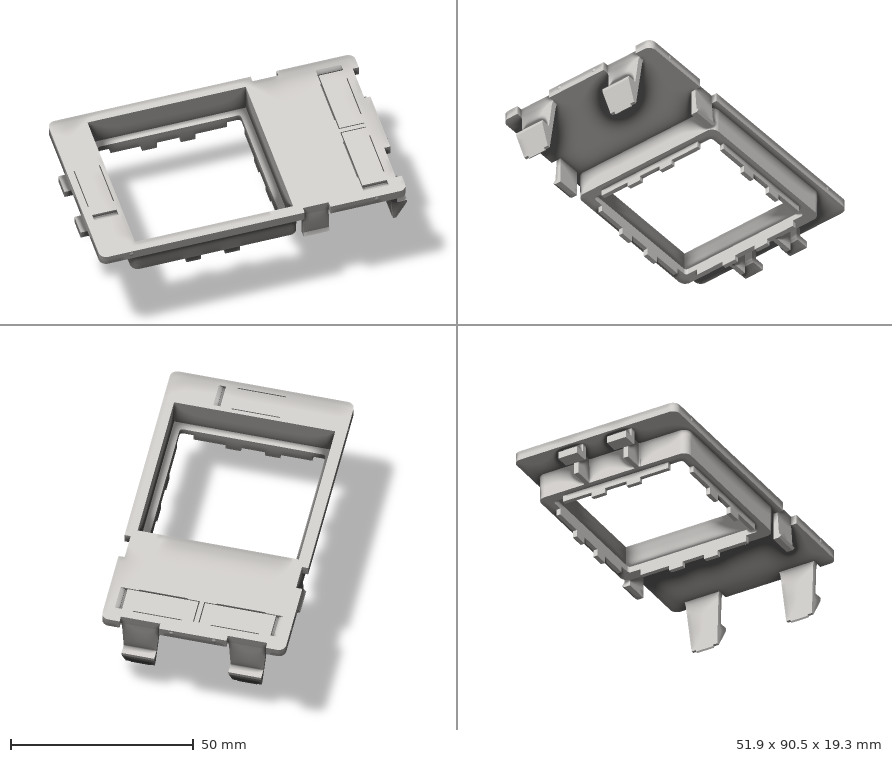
import cadquery as cq


PLATE_WIDTH = 51.5
PLATE_LENGTH = 87.4
PLATE_THICKNESS = 2.8
PLATE_CORNER_RADIUS = 2.1

WINDOW_Y = 33.2
BOX_SIDE = 47.6
BOX_DEPTH = 7.6
BOX_DRAFT_ANGLE = 1.0
BOX_CORNER_RADIUS = 2.35
RECESS_SIDE = 45.2
OPENING_SIDE = 40.9
OPENING_CORNER_RADIUS = 0.9
LEDGE_THICKNESS = 1.8

LIP_LENGTH = 33.3
LIP_THICKNESS = 1.3
LIP_HEIGHT = 1.9
TOOTH_WIDTH = 4.25
TOOTH_SPACING = 11.0
SIDE_TOOTH_HEIGHT = 2.1
END_TOOTH_HEIGHT = 1.45

RIB_INNER_X = 7.15
RIB_OUTER_X = 8.6
RIB_FRONT_Y = 3.5
RIB_ROOT_RADIUS = 0.4

TAB_SPACING = 15.4
TAB_WIDTH = 6.0
TAB_ARM_THICKNESS = 1.7
TAB_REACH = 1.3
FOOT_TOP_Z = -2.5
FOOT_BOTTOM_Z = -4.6
FOOT_ROOT_RADIUS = 0.3
TAB_HEEL_CHAMFER = 0.6

HOOK_SPACING = 30.0
HOOK_NOTCH_WIDTH = 11.0
HOOK_NOTCH_DEPTH = 1.7
HOOK_NECK_WIDTH = 10.2
HOOK_NECK_HEIGHT = 2.2
HOOK_NECK_RADIUS = 5.9
HOOK_END_WIDTH = 8.1
HOOK_TIP_WIDTH = 5.4
HOOK_TIP_HEIGHT = 0.7
HOOK_TIP_OFFSET = 0.2
HOOK_TIP_CHAMFER = 0.3
HOOK_HEIGHT = 16.5
HOOK_ARM_THICKNESS = 1.7
HOOK_LEAN = 0.6
HOOK_REACH = 1.8
BARB_TOP_Z = -9.0
BARB_UNDERCUT = 0.2
BARB_ROOT_RADIUS = 0.3
BARB_EDGE_HEIGHT = 0.9

CLIP_Y = 61.8
CLIP_WIDTH = 7.3
CLIP_NOTCH_DEPTH = 1.7
CLIP_THICKNESS = 1.4
CLIP_HEIGHT = 8.3
CLIP_LEAN = 0.45
CLIP_LIP_REACH = 1.2
CLIP_LIP_TOP_Z = -6.9
CLIP_LIP_EDGE_Z = -7.8

DOME_BELOW_TOP = 1.1
DOME_RADIUS = 0.6
SIDE_DOME_HEIGHT = 0.2
SIDE_DOME_YS = (8.8, 78.7)
REAR_DOME_HEIGHT = 0.3
REAR_DOME_SPACING = 11.95

LABEL_LENGTH = 19.9
LABEL_WIDTH = 7.0
LABEL_THICKNESS = 1.0
RAMP_GAP = 0.8
RAMP_LENGTH = 1.2
RAMP_HEIGHT = 0.68
FINGER_LENGTH = 13.6
FINGER_DEPTH = 0.3
FRONT_LABEL_Y = 5.7
REAR_LABEL_X = 10.9
REAR_LABEL_Y = 79.55
REAR_CLEARANCE = 0.3

LABEL_PLACES = [
    (0, FRONT_LABEL_Y, 1, 0),
    (-REAR_LABEL_X, REAR_LABEL_Y, -1, REAR_CLEARANCE),
    (REAR_LABEL_X, REAR_LABEL_Y, 1, REAR_CLEARANCE),
]
SIDES = (-1, 1)


def block(x_range, y_range, z_range):
    """Box between two limits along each axis."""
    size = [high - low for low, high in (x_range, y_range, z_range)]
    corner = (x_range[0], y_range[0], z_range[0])
    return cq.Workplane("XY").box(*size, centered=False).translate(corner)


def centred_block(x, y, width, length, z_range):
    """Box centred on (x, y) between two heights."""
    return block((x - width / 2, x + width / 2), (y - length / 2, y + length / 2), z_range)


def on_side(shape, side):
    """Shape made for the +X side, mirrored if it belongs on the -X side."""
    return shape if side > 0 else shape.mirror("YZ")


def make_plate():
    plate = centred_block(0, PLATE_LENGTH / 2, PLATE_WIDTH, PLATE_LENGTH, (0, PLATE_THICKNESS))
    return plate.edges("|Z").fillet(PLATE_CORNER_RADIUS)


def make_window_box():
    outline = cq.Sketch().rect(BOX_SIDE, BOX_SIDE).vertices().fillet(BOX_CORNER_RADIUS)
    box = cq.Workplane("XY").placeSketch(outline).extrude(-BOX_DEPTH, taper=BOX_DRAFT_ANGLE)
    return box.translate((0, WINDOW_Y, 0))


def make_window_cutter():
    ledge_z = LEDGE_THICKNESS - BOX_DEPTH
    recess = centred_block(0, WINDOW_Y, RECESS_SIDE, RECESS_SIDE, (ledge_z, PLATE_THICKNESS))
    opening = centred_block(0, WINDOW_Y, OPENING_SIDE, OPENING_SIDE, (-BOX_DEPTH, ledge_z))
    return recess.union(opening.edges("|Z").fillet(OPENING_CORNER_RADIUS))


def make_lip(tooth_height, angle):
    """Toothed lip on the side of the opening that lies at the given angle from +X."""
    x = (OPENING_SIDE + LIP_THICKNESS) / 2
    lip_bottom = -BOX_DEPTH - LIP_HEIGHT
    lip = centred_block(x, 0, LIP_THICKNESS, LIP_LENGTH, (lip_bottom, -BOX_DEPTH))
    for side in SIDES:
        tooth_y = side * TOOTH_SPACING / 2
        tooth_z = (lip_bottom - tooth_height, lip_bottom)
        lip = lip.union(centred_block(x, tooth_y, LIP_THICKNESS, TOOTH_WIDTH, tooth_z))
    return lip.rotate((0, 0, 0), (0, 0, 1), angle).translate((0, WINDOW_Y, 0))


def make_rib():
    """Rib on the +X side, widened by a concave fillet where its outer face meets the window box."""
    box_front = WINDOW_Y - BOX_SIDE / 2
    root_y = box_front + BOX_CORNER_RADIUS / 2
    return (
        cq.Workplane("XY")
        .moveTo(RIB_INNER_X, RIB_FRONT_Y)
        .lineTo(RIB_OUTER_X, RIB_FRONT_Y)
        .lineTo(RIB_OUTER_X, box_front - RIB_ROOT_RADIUS)
        .radiusArc((RIB_OUTER_X + RIB_ROOT_RADIUS, box_front), RIB_ROOT_RADIUS)
        .lineTo(RIB_OUTER_X + RIB_ROOT_RADIUS, root_y)
        .lineTo(RIB_INNER_X, root_y)
        .close()
        .extrude(-BOX_DEPTH)
        .cut(make_window_cutter())
    )


def make_tab(x):
    arm_front = RIB_FRONT_Y - TAB_ARM_THICKNESS
    tab = (
        cq.Workplane("YZ")
        .moveTo(RIB_FRONT_Y, 0)
        .lineTo(arm_front, 0)
        .lineTo(arm_front, FOOT_TOP_Z + FOOT_ROOT_RADIUS)
        .radiusArc((arm_front - FOOT_ROOT_RADIUS, FOOT_TOP_Z), FOOT_ROOT_RADIUS)
        .lineTo(-TAB_REACH, FOOT_TOP_Z)
        .lineTo(-TAB_REACH, FOOT_BOTTOM_Z)
        .lineTo(RIB_FRONT_Y - TAB_HEEL_CHAMFER, FOOT_BOTTOM_Z)
        .lineTo(RIB_FRONT_Y, FOOT_BOTTOM_Z + TAB_HEEL_CHAMFER)
        .close()
        .extrude(TAB_WIDTH / 2, both=True)
    )
    return tab.translate((x, 0, 0))


def make_hook(x):
    """Leaning arm with a flared neck, tapering to a barb with a narrow tip."""
    front_y = PLATE_LENGTH - HOOK_NOTCH_DEPTH - HOOK_ARM_THICKNESS
    back_y = PLATE_LENGTH - HOOK_NOTCH_DEPTH
    barb_y = PLATE_LENGTH + HOOK_REACH
    barb_edge_z = BARB_TOP_Z + BARB_UNDERCUT
    arm_foot_y = back_y + HOOK_LEAN
    profile = (
        cq.Workplane("YZ")
        .moveTo(front_y, 0)
        .lineTo(back_y, 0)
        .lineTo(arm_foot_y, BARB_TOP_Z + BARB_ROOT_RADIUS)
        .radiusArc((arm_foot_y + BARB_ROOT_RADIUS, BARB_TOP_Z), -BARB_ROOT_RADIUS)
        .lineTo(barb_y, barb_edge_z)
        .lineTo(barb_y, barb_edge_z - BARB_EDGE_HEIGHT)
        .lineTo(back_y + HOOK_TIP_OFFSET, -HOOK_HEIGHT)
        .lineTo(back_y - HOOK_LEAN / 2, HOOK_TIP_CHAMFER - HOOK_HEIGHT)
        .close()
        .extrude(HOOK_NOTCH_WIDTH / 2, both=True)
    )

    shoulder_z = HOOK_TIP_HEIGHT - HOOK_HEIGHT
    taper = (
        cq.Workplane("XZ")
        .moveTo(0, -HOOK_HEIGHT)
        .lineTo(HOOK_TIP_WIDTH / 2, -HOOK_HEIGHT)
        .lineTo(HOOK_TIP_WIDTH / 2, shoulder_z)
        .lineTo(HOOK_END_WIDTH / 2, shoulder_z)
        .lineTo(HOOK_NECK_WIDTH / 2, -HOOK_NECK_HEIGHT)
        .radiusArc((HOOK_NOTCH_WIDTH / 2, 0), HOOK_NECK_RADIUS)
        .lineTo(0, 0)
        .mirrorY()
        .extrude(-2 * PLATE_LENGTH)
    )
    return profile.intersect(taper).translate((x, 0, 0))


def make_clip():
    """Clip on the +X side, with a pointed lip at its lower end."""
    outer_x = PLATE_WIDTH / 2 - CLIP_NOTCH_DEPTH
    outline = [
        (outer_x - CLIP_THICKNESS, 0),
        (outer_x, 0),
        (outer_x + CLIP_LEAN, CLIP_LIP_TOP_Z),
        (outer_x + CLIP_LIP_REACH, CLIP_LIP_EDGE_Z),
        (outer_x + CLIP_LEAN, -CLIP_HEIGHT),
        (outer_x - CLIP_THICKNESS, -CLIP_HEIGHT),
    ]
    clip = cq.Workplane("XZ").polyline(outline).close().extrude(CLIP_WIDTH / 2, both=True)
    return clip.translate((0, CLIP_Y, 0))


def make_dome(radius, height):
    """Spherical cap on the plane Z = 0, rising along +Z."""
    sphere_radius = (radius**2 + height**2) / (2 * height)
    sphere = cq.Workplane("XY").sphere(sphere_radius).translate((0, 0, height - sphere_radius))
    return sphere.intersect(centred_block(0, 0, 2 * radius, 2 * radius, (-height, height)))


def make_pocket(x, y, ramp_side, clearance):
    """Space for a label, with a ramp beyond one end and shallow finger recesses on the long sides."""
    floor_z = PLATE_THICKNESS - LABEL_THICKNESS
    closed_end = LABEL_LENGTH / 2 + clearance
    ramp_foot = LABEL_LENGTH / 2 + RAMP_GAP
    pocket_width = LABEL_WIDTH + clearance
    outline = [
        (-ramp_side * closed_end, floor_z),
        (ramp_side * ramp_foot, floor_z),
        (ramp_side * ramp_foot, PLATE_THICKNESS - RAMP_HEIGHT),
        (ramp_side * (ramp_foot + RAMP_LENGTH), PLATE_THICKNESS),
        (-ramp_side * closed_end, PLATE_THICKNESS),
    ]
    pocket = cq.Workplane("XZ").polyline(outline).close().extrude(pocket_width / 2, both=True)
    finger_width = pocket_width + 2 * FINGER_DEPTH
    fingers = centred_block(0, 0, FINGER_LENGTH, finger_width, (floor_z, PLATE_THICKNESS))
    return pocket.union(fingers).translate((x, y - clearance / 2, 0))


def make_label(x, y):
    z_range = (PLATE_THICKNESS - LABEL_THICKNESS, PLATE_THICKNESS)
    return centred_block(x, y, LABEL_LENGTH, LABEL_WIDTH, z_range)


def make_frame():
    frame = make_plate().union(make_window_box()).cut(make_window_cutter())

    for tooth_height, angles in ((SIDE_TOOTH_HEIGHT, (0, 180)), (END_TOOTH_HEIGHT, (90, 270))):
        for angle in angles:
            frame = frame.union(make_lip(tooth_height, angle))

    for side in SIDES:
        frame = frame.union(on_side(make_rib(), side))
        frame = frame.union(make_tab(side * TAB_SPACING / 2))

        hook_x = side * HOOK_SPACING / 2
        notch_length = 2 * HOOK_NOTCH_DEPTH
        notch_z = (0, PLATE_THICKNESS)
        frame = frame.cut(centred_block(hook_x, PLATE_LENGTH, HOOK_NOTCH_WIDTH, notch_length, notch_z))
        frame = frame.union(make_hook(hook_x))

        edge_x = side * PLATE_WIDTH / 2
        clip_notch_width = 2 * CLIP_NOTCH_DEPTH
        frame = frame.cut(centred_block(edge_x, CLIP_Y, clip_notch_width, CLIP_WIDTH, notch_z))
        frame = frame.union(on_side(make_clip(), side))

    for dome in make_domes():
        frame = frame.union(dome)
    for place in LABEL_PLACES:
        frame = frame.cut(make_pocket(*place))
    return frame


def make_domes():
    dome_z = PLATE_THICKNESS - DOME_BELOW_TOP
    domes = []
    for side in SIDES:
        side_dome = make_dome(DOME_RADIUS, SIDE_DOME_HEIGHT).rotate((0, 0, 0), (0, 1, 0), side * 90)
        for y in SIDE_DOME_YS:
            domes.append(side_dome.translate((side * PLATE_WIDTH / 2, y, dome_z)))
        rear_dome = make_dome(DOME_RADIUS, REAR_DOME_HEIGHT).rotate((0, 0, 0), (1, 0, 0), -90)
        domes.append(rear_dome.translate((side * REAR_DOME_SPACING / 2, PLATE_LENGTH, dome_z)))
    return domes


frame = make_frame()
labels = [make_label(x, y) for x, y, _, _ in LABEL_PLACES]

result = cq.Compound.makeCompound([frame.val(), *(label.val() for label in labels)])